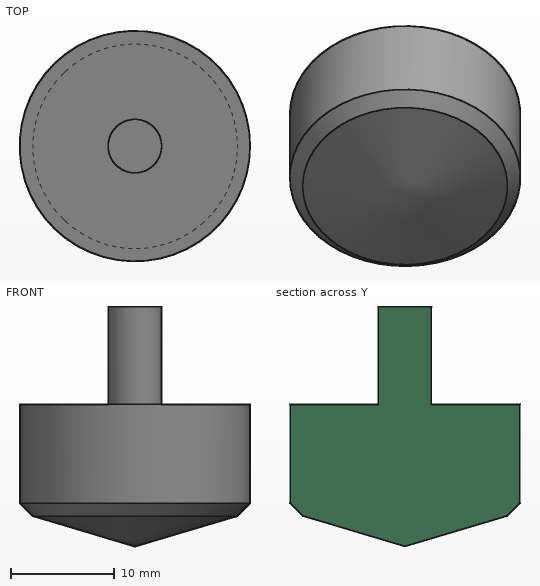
import cadquery as cq

total_height = 23.3
body_diameter = 22.4
pin_diameter = 5.2
pin_length = 9.48
chamfer_size = 1.25
cone_height = 2.95

body_radius = body_diameter / 2
pin_radius = pin_diameter / 2
cone_radius = body_radius - chamfer_size
body_bottom = cone_height + chamfer_size
body_top = total_height - pin_length

profile = (
    cq.Workplane("XZ")
    .moveTo(0, 0)
    .lineTo(cone_radius, cone_height)
    .lineTo(body_radius, body_bottom)
    .lineTo(body_radius, body_top)
    .lineTo(pin_radius, body_top)
    .lineTo(pin_radius, total_height)
    .lineTo(0, total_height)
    .close()
)

result = profile.revolve(360, (0, 0, 0), (0, 1, 0))